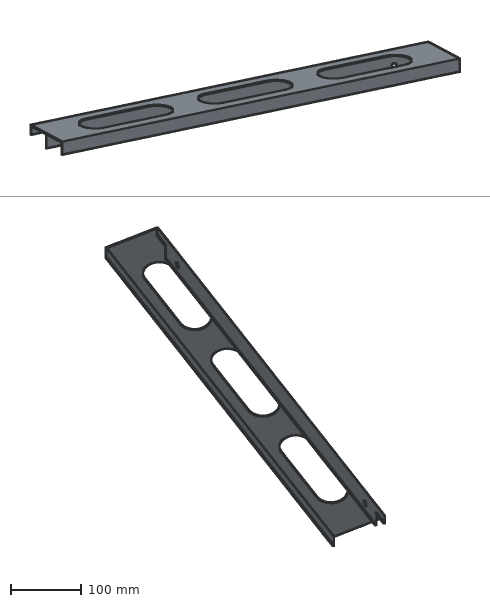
import cadquery as cq

width = 85.0
length = 667.0
height = 40.0
sheet = 2.0

lip_height = 20.0

notch_length = 25.5
notch_top_depth = 15.0

hole_diameter = 9.0
hole_depth_from_top = 25.5
hole_spacing = 550.0

slot_count = 3
slot_length = 150.0
slot_width = 47.0
slot_pitch = 200.0

left = -width / 2
right = width / 2


def make_channel():
    """Sheet profile with a tall -X flange and a short +X lip, run along Y."""
    lip_bottom = height - lip_height
    profile = [
        (left, 0),
        (left, height),
        (right, height),
        (right, lip_bottom),
        (right - sheet, lip_bottom),
        (right - sheet, height - sheet),
        (left + sheet, height - sheet),
        (left + sheet, 0),
    ]
    return cq.Workplane("XZ").polyline(profile).close().extrude(length / 2, both=True)


def make_end_notches():
    """Blocks that remove the lower corners of the tall flange."""
    return (
        cq.Workplane("XY")
        .pushPoints([(left, -length / 2), (left, length / 2)])
        .rect(2 * sheet, 2 * notch_length)
        .extrude(height - notch_top_depth)
    )


def make_mounting_holes():
    """Cylinders along X that pass through the tall flange only."""
    hole_z = height - hole_depth_from_top
    return (
        cq.Workplane("YZ", origin=(left, 0, 0))
        .pushPoints([(-hole_spacing / 2, hole_z), (hole_spacing / 2, hole_z)])
        .circle(hole_diameter / 2)
        .extrude(sheet)
    )


def make_slots():
    """Row of slots through the top web, long side along Y."""
    return (
        cq.Workplane("XY", origin=(0, 0, height - sheet))
        .rarray(7, slot_pitch, 1, slot_count)
        .slot2D(slot_length, slot_width, 90)
        .extrude(sheet)
    )


result = make_channel().cut(make_end_notches()).cut(make_mounting_holes()).cut(make_slots())